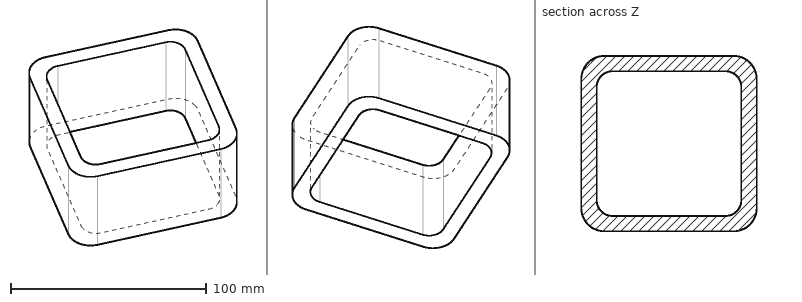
import cadquery as cq

outer_side = 90.0
height = 50.0
wall = 8.0
outer_corner_radius = 12.0
inner_corner_radius = 8.0

inner_side = outer_side - 2 * wall


def rounded_block(side, corner_radius):
    """Square block centred on Z, standing on Z = 0, with rounded vertical edges."""
    block = cq.Workplane("XY").rect(side, side).extrude(height)
    return block.edges("|Z").fillet(corner_radius)


outer_body = rounded_block(outer_side, outer_corner_radius)
opening = rounded_block(inner_side, inner_corner_radius)

result = outer_body.cut(opening)